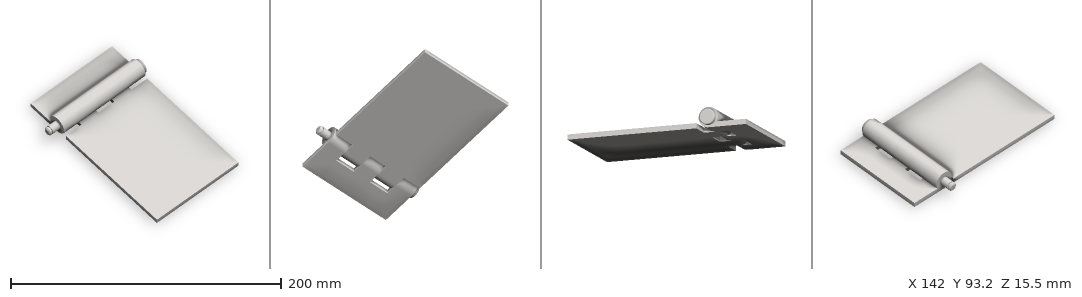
import cadquery as cq


total_width = 142.0
narrow_leaf_reach = 30.0
wide_leaf_reach = total_width - narrow_leaf_reach
leaf_thickness = 4.0

knuckle_radius = 7.74
narrow_knuckle_length = 15.5
wide_knuckle_length = 16.8
notch_reach = 9.5
pitch = narrow_knuckle_length + wide_knuckle_length
narrow_starts = [i * pitch for i in range(3)]
wide_starts = [narrow_knuckle_length + i * pitch for i in range(2)]
leaf_length = narrow_starts[-1] + narrow_knuckle_length

pin_radius = 3.48
bore_radius = 3.76
pin_projection = 10.1
pin_chamfer = 1.0
groove_radius = 2.5
groove_width = 1.0
groove_to_tip = 2.0
head_radius = 6.0
head_length = 3.0
head_chamfer = 0.4


def y_cylinder(radius, start, length):
    """Cylinder around the pin axis from Y = start to Y = start + length."""
    return cq.Workplane("XZ", origin=(0, start, 0)).circle(radius).extrude(-length)


def leaf_strip(direction, inner, outer, start, length):
    """Plate tangent to the knuckle underside, between two distances from the axis."""
    middle_x = direction * (inner + outer) / 2
    return (
        cq.Workplane("XY", origin=(middle_x, start + length / 2, -knuckle_radius))
        .rect(outer - inner, length)
        .extrude(leaf_thickness)
    )


def make_leaf(direction, reach, knuckle_starts, knuckle_length):
    """Plate with a bored knuckle at each start; notches clear the other leaf's knuckles."""
    leaf = leaf_strip(direction, notch_reach, reach, 0, leaf_length)
    for start in knuckle_starts:
        leaf = leaf.union(leaf_strip(direction, 0, notch_reach, start, knuckle_length))
        leaf = leaf.union(y_cylinder(knuckle_radius, start, knuckle_length))
    return leaf.cut(y_cylinder(bore_radius, 0, leaf_length))


def make_pin():
    """Headed pin with a retaining groove near its chamfered front tip."""
    shank = y_cylinder(pin_radius, -pin_projection, pin_projection + leaf_length)
    shank = shank.faces("<Y").chamfer(pin_chamfer)
    head = y_cylinder(head_radius, leaf_length, head_length).faces(">Y").chamfer(head_chamfer)
    groove_start = groove_to_tip - pin_projection
    groove = y_cylinder(pin_radius, groove_start, groove_width).cut(
        y_cylinder(groove_radius, groove_start, groove_width)
    )
    return shank.union(head).cut(groove)


narrow_leaf = make_leaf(-1, narrow_leaf_reach, narrow_starts, narrow_knuckle_length)
wide_leaf = make_leaf(1, wide_leaf_reach, wide_starts, wide_knuckle_length)
pin = make_pin()

result = cq.Compound.makeCompound([narrow_leaf.val(), wide_leaf.val(), pin.val()])